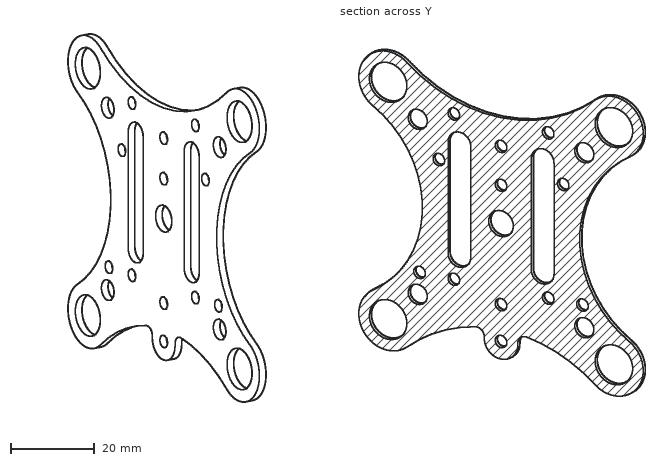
import cadquery as cq
import math

thickness = 2.0
overall_size = 77.0

lobe_radius = 8.0
lobe_offset = overall_size / 2 - lobe_radius
lobe_hole_diameter = 10.0

top_waist = 27.3
side_waist = 21.3

tab_radius = 4.6
tab_center_z = -30.3
tab_root_fillet = 2.0

center_hole_diameter = 6.5
corner_hole_diameter = 5.0
corner_hole_offset = 22.5
small_hole_diameter = 3.0
inner_column_x = 12.75
upper_row_z = 25.75
upper_outer_hole = (16.8, 13.25)
lower_row_z = -16.75
lower_outer_x = 22.0
center_line_z = [19.85, 9.85, -20.85, tab_center_z]

slot_width = 6.0
slot_length = 34.6
slot_center_x = 11.25
slot_center_z = 4.0


def lobe_tangent_point(waist):
    """Tangent point of a concave edge and its lobe, as (distance along the edge, distance outward)."""
    arc_center = (2 * lobe_offset**2 - (waist - lobe_radius) ** 2) / (2 * (lobe_offset - waist + lobe_radius))
    center_distance = arc_center - waist + lobe_radius
    along = lobe_offset - lobe_radius * lobe_offset / center_distance
    outward = lobe_offset + lobe_radius * (arc_center - lobe_offset) / center_distance
    return along, outward


def mirrored_pair(x, z):
    return [(-x, z), (x, z)]


def square_pattern(offset):
    return mirrored_pair(offset, offset) + mirrored_pair(offset, -offset)


def extruded(sketch):
    """Extrude a profile drawn in the XZ plane evenly to both sides of it."""
    return sketch.extrude(thickness / 2, both=True)


def plate_body():
    top_x, top_z = lobe_tangent_point(top_waist)
    side_z, side_x = lobe_tangent_point(side_waist)
    lobe_tip = lobe_offset + lobe_radius * math.sqrt(0.5)
    return extruded(
        cq.Workplane("XZ")
        .moveTo(-top_x, top_z)
        .threePointArc((0, top_waist), (top_x, top_z))
        .threePointArc((lobe_tip, lobe_tip), (side_x, side_z))
        .threePointArc((side_waist, 0), (side_x, -side_z))
        .threePointArc((lobe_tip, -lobe_tip), (top_x, -top_z))
        .threePointArc((0, -top_waist), (-top_x, -top_z))
        .threePointArc((-lobe_tip, -lobe_tip), (-side_x, -side_z))
        .threePointArc((-side_waist, 0), (-side_x, side_z))
        .threePointArc((-lobe_tip, lobe_tip), (-top_x, top_z))
        .close()
    )


def add_tab(body):
    root_z = -top_waist + tab_radius
    tab = extruded(
        cq.Workplane("XZ")
        .moveTo(-tab_radius, root_z)
        .lineTo(-tab_radius, tab_center_z)
        .threePointArc((0, tab_center_z - tab_radius), (tab_radius, tab_center_z))
        .lineTo(tab_radius, root_z)
        .close()
    )
    root_corners = cq.selectors.BoxSelector(
        (-tab_radius - tab_root_fillet, -thickness, tab_center_z),
        (tab_radius + tab_root_fillet, thickness, -top_waist),
    )
    return body.union(tab).edges("|Y").edges(root_corners).fillet(tab_root_fillet)


def drill(body, points, diameter):
    return body.cut(extruded(cq.Workplane("XZ").pushPoints(points).circle(diameter / 2)))


def cut_slots(body):
    slots = extruded(
        cq.Workplane("XZ")
        .pushPoints(mirrored_pair(slot_center_x, slot_center_z))
        .slot2D(slot_length, slot_width, 90)
    )
    return body.cut(slots)


small_holes = (
    mirrored_pair(inner_column_x, upper_row_z)
    + mirrored_pair(*upper_outer_hole)
    + mirrored_pair(inner_column_x, lower_row_z)
    + mirrored_pair(lower_outer_x, lower_row_z)
    + [(0, z) for z in center_line_z]
)

result = add_tab(plate_body())
result = drill(result, square_pattern(lobe_offset), lobe_hole_diameter)
result = drill(result, square_pattern(corner_hole_offset), corner_hole_diameter)
result = drill(result, [(0, 0)], center_hole_diameter)
result = drill(result, small_holes, small_hole_diameter)
result = cut_slots(result)